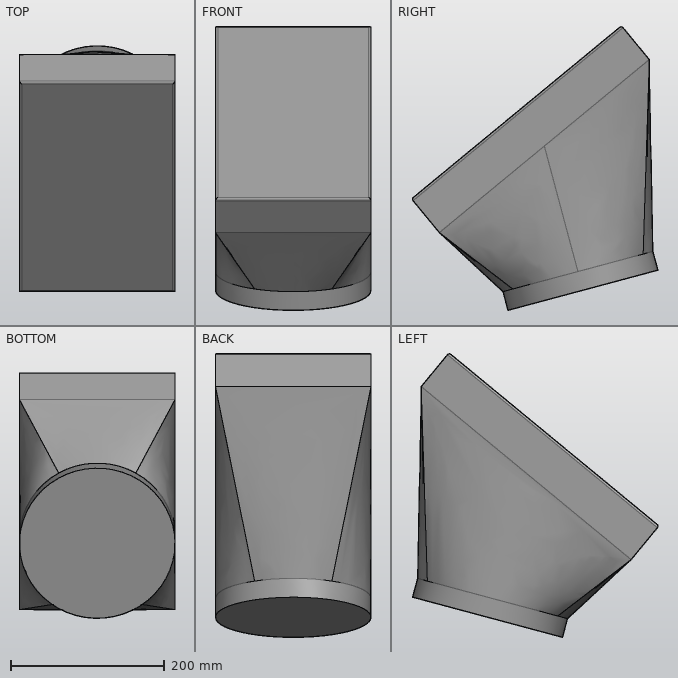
import cadquery as cq

collar_diameter = 203.2
collar_length = 25.4
collar_tilt = 15.0

box_width = collar_diameter
box_length = 355.6
box_depth = 57.15
box_tilt = 39.5
face_fillet = 3.175

transition_length = 169.7


def tilted_plane(origin, tilt):
    """Plane through origin with X kept level and its normal tilted from +Z toward -Y."""
    return cq.Plane(origin=origin).rotated((tilt, 0, 0))


collar_bottom = tilted_plane((0, 0, 0), collar_tilt)
collar_top = tilted_plane(collar_bottom.toWorldCoords((0, 0, collar_length)), collar_tilt)
box_back = tilted_plane(collar_top.toWorldCoords((0, 0, transition_length)), box_tilt)


def make_collar():
    return cq.Workplane(collar_bottom).circle(collar_diameter / 2).extrude(collar_length)


def make_box():
    """Box with the edges around its outer face rounded."""
    box = cq.Workplane(box_back).rect(box_width, box_length).extrude(box_depth)
    outer_face = box.faces(cq.selectors.DirectionMinMaxSelector(box_back.zDir, True))
    return outer_face.edges().fillet(face_fillet)


def make_transition():
    """Rectangle-to-round loft from the collar to the back of the box."""
    round_end = cq.Workplane(collar_top).circle(collar_diameter / 2).wires().val()
    box_end = cq.Workplane(box_back).rect(box_width, box_length).wires().val()
    return cq.Workplane(cq.Solid.makeLoft([round_end, box_end], True))


result = make_collar().union(make_transition()).union(make_box())